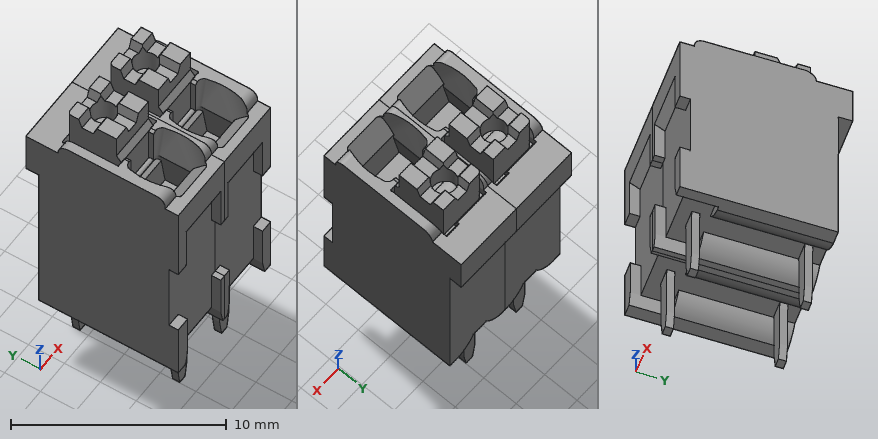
import cadquery as cq
import math


pitch = 3.5
total_width = 7.72
centre_to_joint = pitch / 2
centre_to_outside = total_width / 2 - centre_to_joint

depth = 8.5
body_depth = 7.78
flange_bottom = 9.29
shoulder_z = 11.68
top_z = 12.28
top_front_y = 0.73
top_rear_y = 6.71
top_front_radius = 0.48
top_rear_radius = top_z - shoulder_z

recess_depth = 0.52
recess_bottom = 0.8
recess_top_inner = 9.48
recess_top_outer = 9.8
upper_rib_bottom = 7.3
lower_rib_top = 3.18
rib_inner_x = 1.44
lower_rib_inner_left_x = -1.33

foot_taper = 0.17
front_channel_depth = 2.08
arch_half_bottom = 1.44
arch_half_top = 0.47
arch_mid_x = 0.86
arch_mid_z = 0.31

pin_length = 3.5
pin_thickness = 0.4
pin_width = 0.78
pin_root_width = 0.9
pin_tip_width = 0.45
pin_root_height = 0.42
pin_tip_height = 1.0
pin_front_y = 1.18
pin_spacing = 5.55

button_half_width = 1.33
button_front_y = 3.96
button_rear_y = 6.7
button_top = 13.8
button_corner_radius = 0.22
button_lip_top = 12.56
button_lip_bottom = 12.23
pocket_front_y = 3.68
pocket_floor_z = 11.15
pocket_half_top = 1.61
pocket_half_floor = 1.45
pocket_rear_floor_y = 6.7
pocket_rear_top_y = 6.9
relief_extra = 0.12
relief_left_x = 0.59

groove_depth = 0.5
groove_half_top = 0.5
groove_half_floor = 0.31
cross_y = 5.57
socket_diameter = 1.3
socket_floor_z = 11.94
crown_height = 0.17
crown_radius = 1.28
crown_y = 5.78

mouth_front_y = 0.52
mouth_rear_y = 3.4
mouth_half_front = 1.28
mouth_half_rear = 1.47
mouth_bulge = 0.17
mouth_corner = 0.35
throat_corner = 0.2
throat_half = 1.16
throat_front_y = 1.4
throat_rear_y = 3.18
throat_z = 10.47
front_ramp_bottom = 10.73
rear_ramp_drop = 0.14
chamber_half = 1.55
chamber_floor_z = 8.3

gap_half_width = 0.93
gap_bevel_width = 0.17
gap_bevel_height = 0.1
sill_rear_z = 10.25
sill_mid_y = 3.55
sill_mid_z = 10.31
sill_front_y = 3.39
sill_front_z = 10.2

overlap = 0.17
diagonal = math.sqrt(0.5)


def prism_x(points, x_min, x_max):
    """Extrude a closed (Y, Z) polygon from x_min to x_max."""
    return cq.Workplane("YZ", origin=(x_min, 0, 0)).polyline(points).close().extrude(x_max - x_min)


def prism_y(points, y_min, y_max):
    """Extrude a closed (X, Z) polygon from y_min to y_max."""
    return cq.Workplane("XZ", origin=(0, y_min, 0)).polyline(points).close().extrude(y_min - y_max)


def block(x_min, x_max, y_min, y_max, z_min, z_max):
    """Box between the given limits on each axis."""
    sizes = (x_max - x_min, y_max - y_min, z_max - z_min)
    return cq.Workplane("XY", origin=(x_min, y_min, z_min)).box(*sizes, centered=False)


def housing_blank(x_min, x_max):
    """Side profile with the rear flange and the round-edged raised top."""
    rear_centre_y = top_rear_y - top_rear_radius
    front_centre_y = top_front_y + top_front_radius
    front_centre_z = top_z - top_front_radius
    rear_mid = top_rear_radius * diagonal
    front_mid = top_front_radius * diagonal
    return (
        cq.Workplane("YZ", origin=(x_min, 0, 0))
        .lineTo(body_depth, 0)
        .lineTo(body_depth, flange_bottom)
        .lineTo(depth, flange_bottom)
        .lineTo(depth, shoulder_z)
        .lineTo(top_rear_y, shoulder_z)
        .threePointArc((rear_centre_y + rear_mid, shoulder_z + rear_mid), (rear_centre_y, top_z))
        .lineTo(front_centre_y, top_z)
        .threePointArc(
            (front_centre_y - front_mid, front_centre_z + front_mid),
            (top_front_y, front_centre_z),
        )
        .lineTo(top_front_y, shoulder_z)
        .lineTo(0, shoulder_z)
        .close()
        .extrude(x_max - x_min)
    )


def front_recess(x_min, x_max):
    """Recess in the front face that leaves an upper and a lower pair of ribs."""
    upper_profile = [
        (0, lower_rib_top),
        (recess_depth, lower_rib_top),
        (recess_depth, recess_top_inner),
        (0, recess_top_outer),
    ]
    upper = prism_x(upper_profile, -rib_inner_x, rib_inner_x)
    middle = block(x_min, x_max, 0, recess_depth, lower_rib_top, upper_rib_bottom)
    lower = block(lower_rib_inner_left_x, rib_inner_x, 0, recess_depth, recess_bottom, lower_rib_top)
    return upper.union(middle).union(lower)


def underside_channel():
    """Tapered channel at the front, opening with rounded feet further back."""
    front = prism_y(
        [
            (lower_rib_inner_left_x, recess_bottom),
            (rib_inner_x, recess_bottom),
            (rib_inner_x + foot_taper, 0),
            (lower_rib_inner_left_x - foot_taper, 0),
        ],
        0,
        front_channel_depth,
    )
    arch = (
        cq.Workplane("XZ", origin=(0, front_channel_depth, 0))
        .moveTo(-arch_half_bottom, 0)
        .threePointArc((-arch_mid_x, arch_mid_z), (-arch_half_top, recess_bottom))
        .lineTo(arch_half_top, recess_bottom)
        .threePointArc((arch_mid_x, arch_mid_z), (arch_half_bottom, 0))
        .close()
        .extrude(front_channel_depth - body_depth)
    )
    return front.union(arch)


def pin(y_min):
    """Flat solder pin with a wider root and a tapered tip."""
    right_edge = [
        (pin_root_width / 2, recess_bottom + overlap),
        (pin_root_width / 2, recess_bottom),
        (pin_width / 2, recess_bottom - pin_root_height),
        (pin_width / 2, pin_tip_height - pin_length),
        (pin_tip_width / 2, -pin_length),
    ]
    left_edge = [(-x, z) for x, z in reversed(right_edge)]
    return prism_y(right_edge + left_edge, y_min, y_min + pin_thickness)


def pocket(rear_shift, x_min, x_max):
    """Button pocket with sloping side walls and a sloping rear wall."""
    slope = (pocket_rear_top_y - pocket_rear_floor_y) / (shoulder_z - pocket_floor_z)
    rear_floor_y = pocket_rear_floor_y + rear_shift
    rear_top_y = rear_floor_y + slope * (top_z - pocket_floor_z)
    side_profile = [
        (pocket_front_y, pocket_floor_z),
        (rear_floor_y, pocket_floor_z),
        (rear_top_y, top_z),
        (pocket_front_y, top_z),
    ]
    front_profile = [
        (-pocket_half_floor, pocket_floor_z),
        (pocket_half_floor, pocket_floor_z),
        (pocket_half_floor, shoulder_z),
        (pocket_half_top, top_z),
        (-pocket_half_top, top_z),
        (-pocket_half_floor, shoulder_z),
    ]
    return prism_x(side_profile, x_min, x_max).intersect(prism_y(front_profile, pocket_front_y, depth))


def groove_profile(centre):
    """Trapezoid of a button groove, centred on the given coordinate."""
    floor_z = button_top - groove_depth
    return [
        (centre - groove_half_top, button_top),
        (centre - groove_half_floor, floor_z),
        (centre + groove_half_floor, floor_z),
        (centre + groove_half_top, button_top),
    ]


def button():
    """Push button with a front lip, crossed grooves and a round socket."""
    profile = [
        (pocket_front_y, pocket_floor_z - overlap),
        (button_rear_y, pocket_floor_z - overlap),
        (button_rear_y, button_top),
        (button_front_y, button_top),
        (button_front_y, button_lip_top),
        (pocket_front_y, button_lip_bottom),
    ]
    body = prism_x(profile, -button_half_width, button_half_width)
    body = body.edges("|Z and >Y and <X").fillet(button_corner_radius)
    body = body.cut(prism_x(groove_profile(cross_y), -button_half_width, button_half_width))
    body = body.cut(prism_y(groove_profile(0), pocket_front_y, button_rear_y))

    socket_height = button_top - socket_floor_z
    socket = (
        cq.Workplane("XY", origin=(0, cross_y, socket_floor_z))
        .circle(socket_diameter / 2)
        .extrude(socket_height)
    )
    crown = (
        cq.Workplane("YZ", origin=(-socket_diameter / 2, 0, 0))
        .center(crown_y, socket_floor_z + crown_height - crown_radius)
        .circle(crown_radius)
        .extrude(socket_diameter)
    )
    return body.cut(socket.cut(crown))


def funnel_outline(z, half_front, half_rear, corner, bulge=0):
    """Horizontal outline of the wire entry, with round corners and sides bowed out by bulge."""
    inset = corner * (1 - diagonal)
    front_start_y = mouth_front_y + corner
    rear_end_y = mouth_rear_y - corner
    middle_x = (half_front + half_rear) / 2 + bulge
    middle_y = (mouth_front_y + mouth_rear_y) / 2

    outline = cq.Workplane("XY", origin=(0, 0, z)).moveTo(0, mouth_front_y)
    outline = outline.lineTo(half_front - corner, mouth_front_y)
    outline = outline.threePointArc((half_front - inset, mouth_front_y + inset), (half_front, front_start_y))
    if bulge:
        outline = outline.threePointArc((middle_x, middle_y), (half_rear, rear_end_y))
    else:
        outline = outline.lineTo(half_rear, rear_end_y)
    rear_corner_mid = (half_rear - inset, mouth_rear_y - inset)
    outline = outline.threePointArc(rear_corner_mid, (half_rear - corner, mouth_rear_y))
    return outline.lineTo(0, mouth_rear_y).mirrorY().val()


def wire_entry():
    """Funnel with a front ramp and a short rear ramp, and a chamber that widens below the throat."""
    mouth = funnel_outline(top_z, mouth_half_front, mouth_half_rear, mouth_corner, mouth_bulge)
    throat = funnel_outline(throat_z, throat_half, throat_half, throat_corner)
    floor = funnel_outline(chamber_floor_z, chamber_half, chamber_half, throat_corner)
    funnel = cq.Workplane(cq.Solid.makeLoft([throat, mouth], True))
    chamber = cq.Workplane(cq.Solid.makeLoft([floor, throat], True))
    side_profile = [
        (mouth_front_y, top_z),
        (mouth_front_y, shoulder_z),
        (throat_front_y, front_ramp_bottom),
        (throat_front_y, chamber_floor_z),
        (throat_rear_y, chamber_floor_z),
        (throat_rear_y, sill_front_z - rear_ramp_drop),
        (mouth_rear_y, sill_front_z),
        (mouth_rear_y, top_z),
    ]
    limits = prism_x(side_profile, -centre_to_joint, centre_to_joint)
    return funnel.union(chamber).intersect(limits)


def wall_gap():
    """Bevelled gap in the wall between funnel and button, with a rounded sill at its bottom."""
    gap = (
        cq.Workplane("YZ", origin=(-gap_half_width, 0, 0))
        .moveTo(pocket_front_y, top_z)
        .lineTo(pocket_front_y, sill_rear_z)
        .threePointArc((sill_mid_y, sill_mid_z), (sill_front_y, sill_front_z))
        .lineTo(sill_front_y, top_z)
        .close()
        .extrude(2 * gap_half_width)
    )
    bevel_half_width = gap_half_width + gap_bevel_width
    bevel = prism_y(
        [
            (-bevel_half_width, top_z),
            (-gap_half_width, top_z - gap_bevel_height),
            (gap_half_width, top_z - gap_bevel_height),
            (bevel_half_width, top_z),
        ],
        sill_front_y,
        pocket_front_y,
    )
    return gap.union(bevel)


def pole(x_min, x_max):
    """One complete pole around x = 0, reaching from x_min to x_max."""
    body = housing_blank(x_min, x_max)
    body = body.cut(front_recess(x_min, x_max))
    body = body.cut(underside_channel())
    body = body.cut(wire_entry())
    body = body.cut(pocket(0, -pocket_half_top, pocket_half_top))
    body = body.cut(pocket(relief_extra, relief_left_x, pocket_half_floor))
    body = body.cut(wall_gap())
    body = body.union(button())
    for y_min in (pin_front_y, pin_front_y + pin_spacing):
        body = body.union(pin(y_min))
    return body


left_pole = pole(-centre_to_outside, centre_to_joint).translate((-pitch / 2, 0, 0))
right_pole = pole(-centre_to_joint, centre_to_outside).translate((pitch / 2, 0, 0))

result = cq.Compound.makeCompound([left_pole.val(), right_pole.val()])